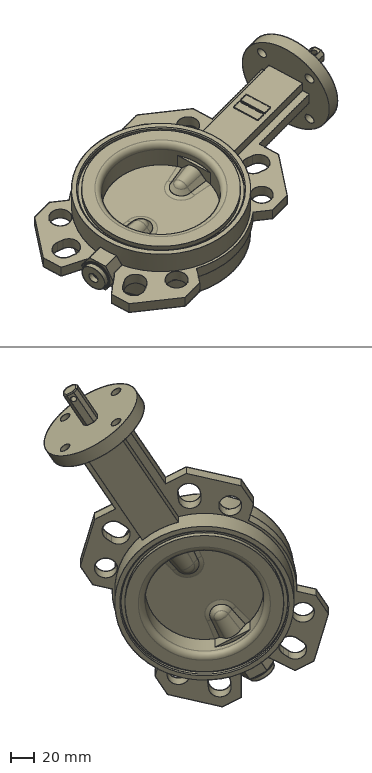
import cadquery as cq
import math


overall_length = 329.0

body_radius = 75.0
body_half_height = 26.5
plate_radius = 77.3
plate_thickness = 11.0
liner_radius = 66.5
liner_half_height = 27.3
groove_outer_radius = 69.7
groove_rim_bevel = 1.0
groove_depth = 4.0
bore_radius = 49.7
bore_lip_radius = 5.5
ring_wall_middle = (bore_radius + body_radius) / 2

disc_thickness = 5.5
seat_distance = 46.7
seat_half_height = 16.5
seat_half_width = math.sqrt(bore_radius**2 - seat_distance**2)
hub_tip_center = 28.5
hub_height = 11.0
hub_crown_half_width = 8.0
hub_crown_drop = 4.3
hub_flank_half_width = 12.5
hub_flank_foot = 1.3
hub_foot_half_width = 17.5
hub_tip_scale = 0.8

lug_half_width = 78.0
lug_half_length = 106.0
lug_tip_half_width = 44.5
lug_bevel = lug_half_width - lug_tip_half_width
lug_side_low = 51.5
plug_gap_tip = 26.0
plug_gap_root = 14.0
plug_gap_root_distance = 85.2
round_hole_radius = 9.5
round_hole_circle = 85.2
round_hole_angle = 45.0
slot_radius = 9.5
slot_inner_circle = 90.0
slot_outer_circle = 95.5
slot_angle = 67.5

neck_half_width = 24.5
neck_core_half_width = 17.5
neck_core_half_height = 14.5
flange_bottom = 176.7
flange_top = 189.0
flange_radius = 45.0
flange_hole_radius = 4.5
flange_hole_offset = 24.7
stem_top = overall_length - lug_half_length
stem_width = 13.0
stem_corner_chamfer = 3.3
stem_end_chamfer = 1.0
stem_pin_radius = 2.47
stem_pin_distance = 216.8

label_width = 25.3
label_length = 8.2
label_height = 1.0
label_distances = (124.0, 134.0)

hex_across_flats = 2 * neck_core_half_height
hex_end = 89.8
plug_steps = ((12.5, 1.0), (13.5, 0.5), (12.0, 4.3))
plug_socket_radius = 4.5
plug_socket_depth = 5.0


def y_cylinder(radius, start, end):
    """Cylinder on the stem axis between two Y positions."""
    return cq.Workplane("XZ", origin=(0, start, 0)).circle(radius).extrude(start - end)


def mid_plane(thickness):
    """XY workplane from which an extrusion of this thickness is centred on the ring mid-plane."""
    return cq.Workplane("XY", origin=(0, 0, -thickness / 2))


def both_sides(solid, plane):
    """The solid together with its mirror image."""
    return solid.union(solid.mirror(plane), clean=False)


def make_body():
    """Round body with the protruding liner and the thin plate ring around its middle."""
    body = mid_plane(2 * body_half_height).circle(body_radius).extrude(2 * body_half_height)
    liner = mid_plane(2 * liner_half_height).circle(liner_radius).extrude(2 * liner_half_height)
    plate = mid_plane(plate_thickness).circle(plate_radius).extrude(plate_thickness)
    return body.union(liner).union(plate)


def make_groove():
    """Ring groove between the liner lip and the bevelled body rim, on both faces."""
    floor = body_half_height - groove_depth
    profile = [
        (liner_radius, floor),
        (groove_outer_radius, floor),
        (groove_outer_radius, body_half_height - groove_rim_bevel),
        (groove_outer_radius + groove_rim_bevel, body_half_height),
        (liner_radius, body_half_height),
    ]
    groove = cq.Workplane("XZ").polyline(profile).close().revolve(360, (0, 0, 0), (0, 1, 0))
    return both_sides(groove, "XY")


def make_bore():
    """Rounded-lip recess down to the disc on both faces, keeping the flat stem seats."""
    disc_face = disc_thickness / 2
    lip_bottom = liner_half_height - bore_lip_radius
    lip_mid = bore_lip_radius * (1 - math.sqrt(0.5))
    recess = (
        cq.Workplane("XZ")
        .moveTo(0, disc_face)
        .lineTo(bore_radius, disc_face)
        .lineTo(bore_radius, lip_bottom)
        .threePointArc(
            (bore_radius + lip_mid, liner_half_height - lip_mid),
            (bore_radius + bore_lip_radius, liner_half_height),
        )
        .lineTo(0, liner_half_height)
        .close()
        .revolve(360, (0, 0, 0), (0, 1, 0))
    )
    seat_depth = bore_radius - seat_distance
    seat = cq.Workplane("XY", origin=(0, seat_distance + seat_depth / 2, 0)).box(
        2 * seat_half_width, seat_depth, 2 * seat_half_height
    )
    return both_sides(recess.cut(both_sides(seat, "XZ")), "XY")


def hub_side(scale):
    """Right-hand corners of the hub cross-section, from the disc mid-plane up to the crown."""
    face = disc_thickness / 2
    return [
        (scale * hub_foot_half_width, 0),
        (scale * hub_foot_half_width, face),
        (scale * hub_flank_half_width, face + scale * hub_flank_foot),
        (scale * hub_crown_half_width, face + scale * (hub_height - hub_crown_drop)),
    ]


def hub_section(distance, scale):
    """Outline of the hub cross-section at a Y position."""
    right = hub_side(scale)
    left = [(-x, z) for x, z in right]
    return (
        cq.Workplane("XZ", origin=(0, distance, 0))
        .polyline(left)
        .threePointArc((0, disc_thickness / 2 + scale * hub_height), right[-1])
        .polyline(right[-2::-1], includeCurrent=True)
        .close()
        .val()
    )


def make_hub_tip():
    """Round hub end: half the hub cross-section turned about a vertical axis."""
    scale = hub_tip_scale
    crown_radius = scale * (hub_crown_half_width**2 + hub_crown_drop**2) / (2 * hub_crown_drop)
    mid_angle = math.asin(scale * hub_crown_half_width / crown_radius) / 2
    top = disc_thickness / 2 + scale * hub_height
    crown_mid = (crown_radius * math.sin(mid_angle), top - crown_radius * (1 - math.cos(mid_angle)))
    return (
        cq.Workplane("XZ", origin=(0, hub_tip_center, 0))
        .polyline([(0, 0)] + hub_side(scale))
        .threePointArc(crown_mid, (0, top))
        .close()
        .revolve(360, (0, 0, 0), (0, 1, 0))
    )


def make_hubs():
    """Tapered stem hubs with round tips, on both disc faces and at both ends."""
    outer = hub_section(seat_distance, 1.0)
    inner = hub_section(hub_tip_center, hub_tip_scale)
    taper = cq.Workplane(cq.Solid.makeLoft([outer, inner], True))
    hub = taper.union(make_hub_tip(), clean=False)
    return both_sides(both_sides(hub, "XY"), "XZ")


def make_lugs():
    """Two bevelled lug plates; the lower one is notched around the bottom plug."""
    bevel_start = lug_half_length - lug_bevel
    quarter_outline = [
        (0, lug_half_length),
        (lug_tip_half_width, lug_half_length),
        (lug_half_width, bevel_start),
        (lug_half_width, lug_side_low),
        (lug_half_width - lug_side_low, 0),
        (0, 0),
    ]
    quarter = mid_plane(plate_thickness).polyline(quarter_outline).close().extrude(plate_thickness)
    lugs = both_sides(both_sides(quarter, "YZ"), "XZ")
    plug_gap = [
        (-plug_gap_tip, -lug_half_length),
        (-plug_gap_root, -plug_gap_root_distance),
        (plug_gap_root, -plug_gap_root_distance),
        (plug_gap_tip, -lug_half_length),
    ]
    return lugs.cut(mid_plane(plate_thickness).polyline(plug_gap).close().extrude(plate_thickness))


def make_lug_holes():
    """One round hole and one radial slot per lug corner."""
    slot_center = (slot_inner_circle + slot_outer_circle) / 2
    slot_length = slot_outer_circle - slot_inner_circle + 2 * slot_radius
    round_hole = (
        mid_plane(plate_thickness)
        .center(round_hole_circle, 0)
        .circle(round_hole_radius)
        .extrude(plate_thickness)
        .rotate((0, 0, 0), (0, 0, 1), round_hole_angle)
    )
    slot = (
        mid_plane(plate_thickness)
        .center(slot_center, 0)
        .slot2D(slot_length, 2 * slot_radius)
        .extrude(plate_thickness)
        .rotate((0, 0, 0), (0, 0, 1), slot_angle)
    )
    return both_sides(both_sides(round_hole.union(slot), "YZ"), "XZ")


def make_neck():
    """Cross-shaped neck from the ring wall up to the top flange, with raised name plates."""
    length = flange_bottom - ring_wall_middle
    base = cq.Workplane("XY", origin=(0, ring_wall_middle + length / 2, 0))
    neck = base.box(2 * neck_core_half_width, length, 2 * neck_core_half_height)
    neck = neck.union(base.box(2 * neck_half_width, length, plate_thickness))
    labels = (
        cq.Workplane("XY", origin=(0, 0, neck_core_half_height))
        .pushPoints([(0, distance) for distance in label_distances])
        .rect(label_width, label_length)
        .extrude(label_height)
    )
    return neck.union(labels)


def make_flange():
    """Round actuator flange with four bolt holes."""
    bolt_holes = (
        cq.Workplane("XZ", origin=(0, flange_top, 0))
        .rect(2 * flange_hole_offset, 2 * flange_hole_offset, forConstruction=True)
        .vertices()
        .circle(flange_hole_radius)
        .extrude(flange_top - flange_bottom)
    )
    return y_cylinder(flange_radius, flange_bottom, flange_top).cut(bolt_holes)


def make_stem():
    """Square stem end with bevelled corners and a cross hole for a pin."""
    pin_hole = (
        mid_plane(stem_width)
        .center(0, stem_pin_distance)
        .circle(stem_pin_radius)
        .extrude(stem_width)
    )
    return (
        cq.Workplane("XZ", origin=(0, stem_top, 0))
        .rect(stem_width, stem_width)
        .extrude(stem_top - flange_top)
        .edges("|Y")
        .chamfer(stem_corner_chamfer)
        .faces(">Y")
        .chamfer(stem_end_chamfer)
        .cut(pin_hole)
    )


def make_bottom_boss():
    """Hexagonal boss closed by a stepped round plug with a blind socket."""
    across_corners = hex_across_flats / math.cos(math.pi / 6)
    boss = (
        cq.Workplane("XZ", origin=(0, -ring_wall_middle, 0))
        .polygon(6, across_corners)
        .extrude(hex_end - ring_wall_middle)
    )
    end = hex_end
    for radius, length in plug_steps:
        boss = boss.union(y_cylinder(radius, -end, -end - length))
        end += length
    return boss.cut(y_cylinder(plug_socket_radius, -end, -end + plug_socket_depth))


result = (
    make_body()
    .union(make_lugs())
    .union(make_neck())
    .union(make_flange())
    .union(make_stem())
    .union(make_bottom_boss())
    .cut(make_groove())
    .cut(make_bore())
    .cut(make_lug_holes())
    .union(make_hubs(), clean=False)
)